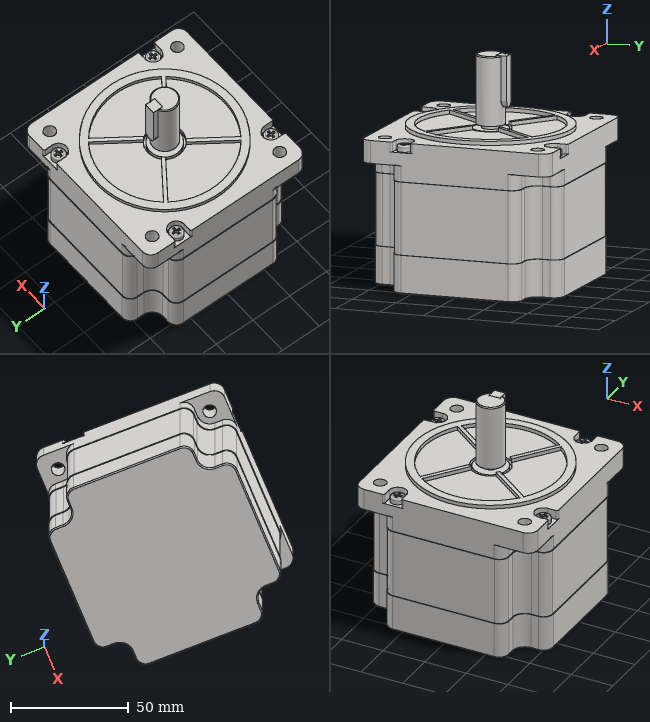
import cadquery as cq
import math

TOTAL_HEIGHT = 98.0
REAR_CAP_TOP = 17.0
STATOR_TOP = 48.8
FLANGE_BOTTOM = 55.9
FLANGE_TOP = 65.9
PILOT_TOP = 67.6

BODY_WIDTH = 86.0
BODY_HALF = BODY_WIDTH / 2
CORNER_RADIUS = 4.7
BASE_CHAMFER = 0.6
STATOR_INSET = 0.3

HOLE_OFFSET = 34.8
HOLE_RADIUS = 2.8
NOTCH_RADIUS = 2 * HOLE_RADIUS

PILOT_RADIUS = 36.4
PILOT_INNER_RADIUS = 32.4
PILOT_HEIGHT = PILOT_TOP - FLANGE_TOP
HUB_RADIUS = 8.0
GROOVE_RADIUS = 9.1
GROOVE_DEPTH = PILOT_HEIGHT
SPOKE_WIDTH = 1.9
SPOKE_ANGLE = 53.7
SPOKE_COUNT = 4

SHAFT_RADIUS = 6.4
SHAFT_CHAMFER = 0.5
NECK_RADIUS = 3.9
KEY_WIDTH = 5.4
KEY_INNER_Y = 3.3
KEY_OUTER_Y = 8.3
KEY_BOTTOM = 75.4

SIDE_COUNT = 4
POCKET_RADIUS = 4.1
POCKET_FLOOR = 61.5
POCKET_LIP_RADIUS = 0.9
SCREW_RADIUS = 3.3
SCREW_HEIGHT = 2.8
SCREW_ROUND = 1.0
SCREW_TOP = POCKET_FLOOR + SCREW_HEIGHT
CROSS_LENGTH = 3.7
CROSS_WIDTH = 1.0
CROSS_DEPTH = 1.2
SCREW_INSET = BODY_HALF - CORNER_RADIUS
SCREW_SHIFT = HOLE_OFFSET - NOTCH_RADIUS - CORNER_RADIUS

DIAGONAL = math.sqrt(0.5)


def turned(point, angle):
    """Turn an (x, y) point about the Z axis by an angle in degrees."""
    x, y = point
    cosine = math.cos(math.radians(angle))
    sine = math.sin(math.radians(angle))
    return (x * cosine - y * sine, x * sine + y * cosine)


def ring_of(shape, count, first_angle=0.0):
    """Copies of a shape spaced evenly around the Z axis."""
    return [shape.rotate((0, 0, 0), (0, 0, 1), first_angle + 360 / count * i) for i in range(count)]


def cylinder(radius, bottom, top):
    return cq.Workplane("XY", origin=(0, 0, bottom)).circle(radius).extrude(top - bottom)


def notched_prism(bottom, top, inset=0.0):
    """Square prism with each corner hollowed around a hole axis, leaving two rounded lobes."""
    half = BODY_HALF - inset
    lobe_radius = CORNER_RADIUS - inset
    notch_radius = NOTCH_RADIUS + inset
    wall = HOLE_OFFSET - notch_radius
    lobe_far = half - lobe_radius
    lobe_near = wall - lobe_radius
    bulge = lobe_radius * DIAGONAL
    hollow = HOLE_OFFSET - notch_radius * DIAGONAL

    outline = cq.Workplane("XY", origin=(0, 0, bottom)).moveTo(half, -lobe_near)
    for angle in (0, 90, 180, 270):
        outline = (
            outline.lineTo(*turned((half, lobe_near), angle))
            .threePointArc(
                turned((lobe_far + bulge, lobe_near + bulge), angle),
                turned((lobe_far, wall), angle),
            )
            .lineTo(*turned((HOLE_OFFSET, wall), angle))
            .threePointArc(
                turned((hollow, hollow), angle),
                turned((wall, HOLE_OFFSET), angle),
            )
            .lineTo(*turned((wall, lobe_far), angle))
            .threePointArc(
                turned((lobe_near + bulge, lobe_far + bulge), angle),
                turned((lobe_near, half), angle),
            )
        )
    return outline.close().extrude(top - bottom)


def make_case():
    """Rear cap, slightly smaller stator, and the lower part of the front cap."""
    rear_cap = notched_prism(0, REAR_CAP_TOP).faces("<Z").chamfer(BASE_CHAMFER)
    stator = notched_prism(REAR_CAP_TOP, STATOR_TOP, STATOR_INSET)
    front_cap = notched_prism(STATOR_TOP, FLANGE_BOTTOM)
    return rear_cap.union(stator).union(front_cap)


def make_flange():
    """Rounded square plate with four mounting holes."""
    return (
        cq.Workplane("XY", origin=(0, 0, FLANGE_BOTTOM))
        .rect(BODY_WIDTH, BODY_WIDTH)
        .extrude(FLANGE_TOP - FLANGE_BOTTOM)
        .edges("|Z")
        .fillet(CORNER_RADIUS)
        .faces(">Z")
        .workplane()
        .rect(2 * HOLE_OFFSET, 2 * HOLE_OFFSET, forConstruction=True)
        .vertices()
        .hole(2 * HOLE_RADIUS)
    )


def make_pilot():
    """Raised ring with spokes in to the hub groove; one edge of each spoke points at the axis."""
    pilot = cylinder(PILOT_RADIUS, FLANGE_TOP, PILOT_TOP)
    pilot = pilot.cut(cylinder(PILOT_INNER_RADIUS, FLANGE_TOP, PILOT_TOP))
    spoke_length = (PILOT_RADIUS + PILOT_INNER_RADIUS) / 2
    spoke = (
        cq.Workplane("XY", origin=(0, 0, FLANGE_TOP))
        .moveTo(spoke_length / 2, -SPOKE_WIDTH / 2)
        .rect(spoke_length, SPOKE_WIDTH)
        .extrude(PILOT_HEIGHT)
    )
    for copy in ring_of(spoke, SPOKE_COUNT, SPOKE_ANGLE):
        pilot = pilot.union(copy)
    return pilot.cut(cylinder(GROOVE_RADIUS, FLANGE_TOP, PILOT_TOP))


def make_hub_groove():
    """Cutter for the ring groove around the hub."""
    bottom = FLANGE_TOP - GROOVE_DEPTH
    return cylinder(GROOVE_RADIUS, bottom, FLANGE_TOP).cut(cylinder(HUB_RADIUS, bottom, FLANGE_TOP))


def make_pocket():
    """Cutter for the screw pocket that opens through the -Y side, its mouth rounded outwards."""
    mouth = POCKET_RADIUS + POCKET_LIP_RADIUS
    lip_y = POCKET_LIP_RADIUS - BODY_HALF
    lip_sag = POCKET_LIP_RADIUS * (1 - DIAGONAL)
    lip_middle = (POCKET_RADIUS + lip_sag, lip_sag - BODY_HALF)
    return (
        cq.Workplane("XY", origin=(-SCREW_SHIFT, 0, POCKET_FLOOR))
        .moveTo(-mouth, -BODY_HALF)
        .threePointArc((-lip_middle[0], lip_middle[1]), (-POCKET_RADIUS, lip_y))
        .lineTo(-POCKET_RADIUS, -SCREW_INSET)
        .threePointArc((0, POCKET_RADIUS - SCREW_INSET), (POCKET_RADIUS, -SCREW_INSET))
        .lineTo(POCKET_RADIUS, lip_y)
        .threePointArc(lip_middle, (mouth, -BODY_HALF))
        .close()
        .extrude(FLANGE_TOP - POCKET_FLOOR)
    )


def make_screw_head():
    """Round-edged screw head with a cross recess, on the floor of the -Y pocket."""
    head = cylinder(SCREW_RADIUS, POCKET_FLOOR, SCREW_TOP).faces(">Z").edges().fillet(SCREW_ROUND)
    for size in ((CROSS_LENGTH, CROSS_WIDTH), (CROSS_WIDTH, CROSS_LENGTH)):
        slot = cq.Workplane("XY", origin=(0, 0, SCREW_TOP)).rect(*size).extrude(-CROSS_DEPTH)
        head = head.cut(slot)
    return head.translate((-SCREW_SHIFT, -SCREW_INSET, 0))


def make_shaft():
    """Chamfered shaft whose neck joins it to the hub."""
    shaft = cylinder(SHAFT_RADIUS, PILOT_TOP, TOTAL_HEIGHT).faces(">Z").chamfer(SHAFT_CHAMFER)
    return shaft.union(cylinder(NECK_RADIUS, FLANGE_TOP, PILOT_TOP))


def make_motor(key):
    """Case, flange, screws and shaft as one solid, with a keyway that fits the key."""
    motor = make_case().union(make_flange()).union(make_pilot()).cut(make_hub_groove())
    for pocket in ring_of(make_pocket(), SIDE_COUNT):
        motor = motor.cut(pocket)
    for screw_head in ring_of(make_screw_head(), SIDE_COUNT):
        motor = motor.union(screw_head)
    return motor.union(make_shaft()).cut(key)


def make_key():
    """Key with a round lower end, flush with the top of the shaft."""
    half_width = KEY_WIDTH / 2
    return (
        cq.Workplane("XZ", origin=(0, KEY_OUTER_Y, 0))
        .moveTo(-half_width, TOTAL_HEIGHT)
        .lineTo(-half_width, KEY_BOTTOM + half_width)
        .threePointArc((0, KEY_BOTTOM), (half_width, KEY_BOTTOM + half_width))
        .lineTo(half_width, TOTAL_HEIGHT)
        .close()
        .extrude(KEY_OUTER_Y - KEY_INNER_Y)
    )


key = make_key()
motor = make_motor(key)

result = cq.Compound.makeCompound([motor.val(), key.val()])